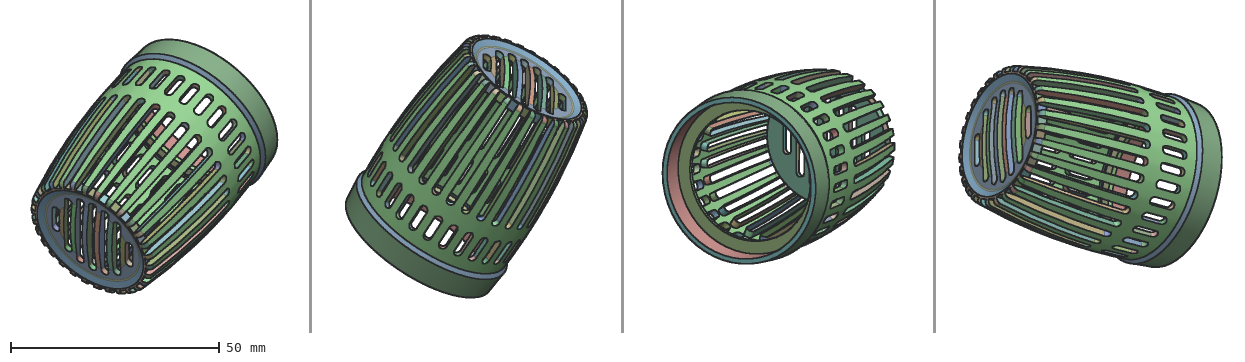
import cadquery as cq
import math

length = 51.3

collar_radius = 21.05
collar_end_radius = 20.4
collar_edge_y = 45.1
collar_base_y = 43.95
neck_radius = 20.25

waist_radius = 20.2
waist_y = 22.05
tip_radius = 17.2
tip_fillet = 1.35
wall = 1.9

lip_radius = 16.05
lip_thickness = 1.2
shoulder_y = collar_base_y
cavity_shoulder_radius = 18.8
socket_radius = 19.2

floor_top_y = 2.6
rim_radius = 15.25
recess_radius = 13.45
recess_depth = 1.05
recess_fillet = 0.75
dome_radius = 10.15
dome_height = 1.0

slot_floor_radius = 15.8
slot_count = 30
slot_width = 2.05
short_slot_start = 33.75
short_slot_end = 40.9
long_slot_end = 29.9

grille_pitch = 3.5
grille_side_slots = 3
grille_radius = 10.95


def make_shell():
    """Revolve the outer barrel with its collar and hollow it out."""
    outer = (
        cq.Workplane("XY")
        .lineTo(tip_radius, 0)
        .threePointArc((waist_radius, waist_y), (neck_radius, collar_base_y))
        .lineTo(collar_radius, collar_edge_y)
        .lineTo(collar_end_radius, length)
        .lineTo(0, length)
        .close()
        .revolve(360, (0, 0, 0), (0, 1, 0))
        .faces("<Y")
        .edges()
        .fillet(tip_fillet)
    )
    cavity = (
        cq.Workplane("XY")
        .moveTo(0, floor_top_y)
        .lineTo(slot_floor_radius, floor_top_y)
        .threePointArc((waist_radius - wall, waist_y), (cavity_shoulder_radius, shoulder_y))
        .lineTo(lip_radius, shoulder_y)
        .lineTo(lip_radius, shoulder_y + lip_thickness)
        .lineTo(socket_radius, shoulder_y + lip_thickness)
        .lineTo(socket_radius, length)
        .lineTo(0, length)
        .close()
        .revolve(360, (0, 0, 0), (0, 1, 0))
    )
    return outer.cut(cavity)


def make_recess():
    """Dished recess of the closed end, with the dome left standing."""
    dish = (
        cq.Workplane("XY")
        .lineTo(rim_radius, 0)
        .lineTo(recess_radius, recess_depth)
        .lineTo(0, recess_depth)
        .close()
        .revolve(360, (0, 0, 0), (0, 1, 0))
        .faces(">Y")
        .edges()
        .fillet(recess_fillet)
    )
    sphere_radius = (dome_radius**2 + dome_height**2) / (2 * dome_height)
    dome_top_y = recess_depth - dome_height
    sphere = cq.Workplane("XY").sphere(sphere_radius).translate((0, dome_top_y + sphere_radius, 0))
    return dish.cut(sphere)


def radial_slot(start_y, end_y):
    """Round-ended slot cutter pointing along +Z, from the slot floor outward."""
    slot_length = end_y - start_y
    return (
        cq.Workplane("XY", origin=(0, (start_y + end_y) / 2, slot_floor_radius))
        .slot2D(slot_length, slot_width, 90)
        .extrude(collar_radius - slot_floor_radius)
    )


def make_side_slots():
    """One short and one long slot at every angular position; the long slots run out at Y = 0."""
    short_slot = radial_slot(short_slot_start, short_slot_end)
    long_slot = radial_slot(-slot_width, long_slot_end)
    cutters = []
    for index in range(slot_count):
        angle = index * 360 / slot_count
        for slot in (short_slot, long_slot):
            cutters.append(slot.rotate((0, 0, 0), (0, 1, 0), angle).val())
    return cq.Compound.makeCompound(cutters)


def make_grille():
    """Parallel slots whose end arcs are centred on one circle."""
    grille = cq.Workplane("XZ")
    for index in range(-grille_side_slots, grille_side_slots + 1):
        x = index * grille_pitch
        half_span = math.sqrt(grille_radius**2 - x**2)
        grille = grille.moveTo(x, 0).slot2D(2 * half_span + slot_width, slot_width, 90)
    return grille.extrude(-floor_top_y)


result = make_shell().cut(make_recess()).cut(make_side_slots()).cut(make_grille())